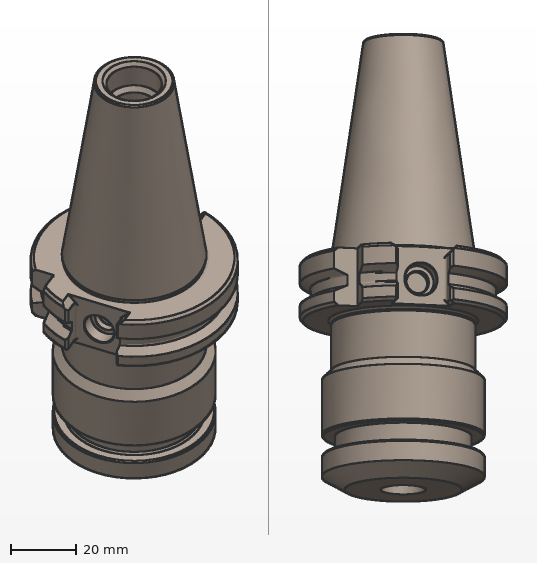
import cadquery as cq
import math


TAPER_RATE = 7 / 24
GAUGE_DIA = 44.45
TAPER_LENGTH = 68.4
TIP_EDGE = 0.5
TAPER_UNDERCUT_DIA = 43.85
TAPER_EDGE = 0.3
UNDERCUT_RECESS_DIA = 46.3
UNDERCUT_RECESS_DEPTH = 0.3

FLANGE_DIA = 63.55
FLANGE_TOP = -1.0
FLANGE_BOTTOM = -19.1
FLANGE_EDGE = 1.0
GROOVE_DIA = 56.9
GROOVE_CENTER = -11.1
GROOVE_MOUTH = 7.0
GROOVE_FLANK_ANGLE = 30
GROOVE_CORNER_RADIUS = 0.5

RELIEF_DIA = 43.85
RELIEF_TOP_DIA = 46.0
RELIEF_HEIGHT = 0.8
RELIEF_FLARE = 0.6
NECK_DIA = 44.45
NECK_BOTTOM = -35.0
BODY_DIA = 50.0
BODY_BOTTOM = -55.4
NUT_NECK_DIA = 42.0
NUT_TOP = -61.4
NUT_COLLAR = 0.7
PART_BOTTOM = -72.0
BODY_EDGE = 0.5
NUT_EDGE = 0.5
NUT_NOSE_DIA = 36.0
NUT_NOSE_ANGLE = 30

BORE_DIA = 13.84
PILOT_DIA = 17.0
PILOT_MOUTH_DIA = 19.4
PILOT_LENGTH = 7.3

SLOT_WIDTH = 16.3
FRONT_SLOT_FLOOR = 25.0
BACK_SLOT_FLOOR = 22.8
SLOT_TOP_CHAMFER = 2.3
SLOT_BOTTOM_CHAMFER = 1.0
SLOT_RIM_CHAMFER = 0.85
SLOT_CORNER_RADIUS = 0.8
NOTCH_OFFSET = 18.5

CHIP_DIA = 10.0
CHIP_MOUTH_CHAMFER = 0.2
CHIP_DEPTH = 4.6
CHIP_CORE_DIA = 7.0
CHIP_CORE_DEPTH = 7.0


def revolve(profile):
    """Turn a closed (radius, z) outline about the Z axis."""
    return cq.Workplane("XZ").polyline(profile).close().revolve(360, (0, 0, 0), (0, 1, 0))


def make_shank():
    """Taper with a broken tip edge and a grinding undercut above the flange."""
    gauge_radius = GAUGE_DIA / 2
    undercut_radius = TAPER_UNDERCUT_DIA / 2
    tip_radius = gauge_radius - TAPER_LENGTH * TAPER_RATE / 2
    edge_drop_radius = tip_radius + TIP_EDGE * TAPER_RATE / 2
    return revolve([
        (0, TAPER_LENGTH),
        (tip_radius - TIP_EDGE, TAPER_LENGTH),
        (edge_drop_radius, TAPER_LENGTH - TIP_EDGE),
        (gauge_radius, 0),
        (undercut_radius, -TAPER_EDGE),
        (undercut_radius, FLANGE_TOP - UNDERCUT_RECESS_DEPTH),
        (0, FLANGE_TOP - UNDERCUT_RECESS_DEPTH),
    ])


def make_flange():
    """Flange with the V groove and a shallow conical recess around the taper."""
    rim = FLANGE_DIA / 2
    root = GROOVE_DIA / 2
    half_mouth = GROOVE_MOUTH / 2
    half_root = half_mouth - (rim - root) * math.tan(math.radians(GROOVE_FLANK_ANGLE))
    blank = revolve([
        (0, FLANGE_TOP - UNDERCUT_RECESS_DEPTH),
        (TAPER_UNDERCUT_DIA / 2, FLANGE_TOP - UNDERCUT_RECESS_DEPTH),
        (UNDERCUT_RECESS_DIA / 2, FLANGE_TOP),
        (rim - FLANGE_EDGE, FLANGE_TOP),
        (rim, FLANGE_TOP - FLANGE_EDGE),
        (rim, GROOVE_CENTER + half_mouth),
        (root, GROOVE_CENTER + half_root),
        (root, GROOVE_CENTER - half_root),
        (rim, GROOVE_CENTER - half_mouth),
        (rim, FLANGE_BOTTOM + FLANGE_EDGE),
        (rim - FLANGE_EDGE, FLANGE_BOTTOM),
        (0, FLANGE_BOTTOM),
    ])
    half_zone = (half_mouth + half_root) / 2
    root_zone = cq.selectors.BoxSelector(
        (-rim, -rim, GROOVE_CENTER - half_zone),
        (rim, rim, GROOVE_CENTER + half_zone),
    )
    return blank.edges(root_zone).edges("%CIRCLE").fillet(GROOVE_CORNER_RADIUS)


def make_body():
    """Chuck body below the flange and the clamping nut at its end."""
    relief = RELIEF_DIA / 2
    neck = NECK_DIA / 2
    body = BODY_DIA / 2
    nut_neck = NUT_NECK_DIA / 2
    nose = NUT_NOSE_DIA / 2
    relief_bottom = FLANGE_BOTTOM - RELIEF_HEIGHT
    nose_height = (body - nose) * math.tan(math.radians(NUT_NOSE_ANGLE))
    return revolve([
        (0, FLANGE_BOTTOM),
        (RELIEF_TOP_DIA / 2, FLANGE_BOTTOM),
        (relief, relief_bottom),
        (neck, relief_bottom - RELIEF_FLARE),
        (neck, NECK_BOTTOM),
        (body, NECK_BOTTOM - (body - neck)),
        (body, BODY_BOTTOM + BODY_EDGE),
        (body - BODY_EDGE, BODY_BOTTOM),
        (nut_neck, BODY_BOTTOM),
        (nut_neck, NUT_TOP + NUT_COLLAR),
        (nut_neck + NUT_COLLAR, NUT_TOP),
        (body - NUT_EDGE, NUT_TOP),
        (body, NUT_TOP - NUT_EDGE),
        (body, PART_BOTTOM + nose_height),
        (nose, PART_BOTTOM),
        (0, PART_BOTTOM),
    ])


def make_bore():
    """Through bore with a chamfered pilot bore at the taper tip."""
    bore = BORE_DIA / 2
    pilot = PILOT_DIA / 2
    mouth = PILOT_MOUTH_DIA / 2
    pilot_top = TAPER_LENGTH - (mouth - pilot)
    pilot_bottom = pilot_top - PILOT_LENGTH
    return revolve([
        (0, TAPER_LENGTH),
        (mouth, TAPER_LENGTH),
        (pilot, pilot_top),
        (pilot, pilot_bottom),
        (bore, pilot_bottom - (pilot - bore)),
        (bore, PART_BOTTOM),
        (0, PART_BOTTOM),
    ])


def make_slot(floor, side):
    """Drive slot cutter; side is -1 for the front slot and +1 for the back one."""
    half = SLOT_WIDTH / 2
    rim = FLANGE_DIA / 2
    rim_x = half + SLOT_RIM_CHAMFER
    rim_y = math.sqrt(rim**2 - rim_x**2)
    flare = rim - (rim_y - SLOT_RIM_CHAMFER)
    height = FLANGE_TOP - FLANGE_BOTTOM
    channel = (
        cq.Workplane("XY", origin=(0, 0, FLANGE_BOTTOM))
        .rect(SLOT_WIDTH, 2 * (rim - floor))
        .extrude(height)
        .translate((0, side * rim, 0))
        .edges("|Z")
        .fillet(SLOT_CORNER_RADIUS)
    )
    rim_chamfer = (
        cq.Workplane("XY", origin=(0, 0, FLANGE_BOTTOM))
        .polyline([
            (-half, side * (rim - flare)),
            (half, side * (rim - flare)),
            (half + flare, side * rim),
            (-half - flare, side * rim),
        ])
        .close()
        .extrude(height)
    )
    outer_half = half + SLOT_TOP_CHAMFER
    lower_half = half + SLOT_BOTTOM_CHAMFER
    end_chamfers = (
        cq.Workplane("XZ", origin=(0, side * floor, 0))
        .polyline([
            (-outer_half, FLANGE_TOP),
            (outer_half, FLANGE_TOP),
            (0, FLANGE_TOP - outer_half),
        ])
        .close()
        .polyline([
            (-lower_half, FLANGE_BOTTOM),
            (lower_half, FLANGE_BOTTOM),
            (0, FLANGE_BOTTOM + lower_half),
        ])
        .close()
        .extrude(-side * (rim - floor))
    )
    return channel.union(rim_chamfer).union(end_chamfers)


def make_notch():
    """Square-cornered orientation notch through the -X, -Y side of the flange."""
    rim = FLANGE_DIA / 2
    height = FLANGE_TOP - FLANGE_BOTTOM
    corner = (-NOTCH_OFFSET - rim, -NOTCH_OFFSET - rim, FLANGE_BOTTOM)
    return cq.Workplane("XY").box(rim, rim, height, centered=False).translate(corner)


def make_chip_pocket():
    """Stepped round pocket with a broken mouth edge."""
    mouth = cq.Workplane("XZ", origin=(0, -FRONT_SLOT_FLOOR, GROOVE_CENTER))
    pocket = mouth.circle(CHIP_DIA / 2).extrude(-CHIP_DEPTH)
    core = mouth.circle(CHIP_CORE_DIA / 2).extrude(-CHIP_CORE_DEPTH)
    flare = (
        mouth.circle(CHIP_DIA / 2 + CHIP_MOUTH_CHAMFER)
        .extrude(-CHIP_MOUTH_CHAMFER, taper=45)
    )
    return pocket.union(core).union(flare)


result = (
    make_shank()
    .union(make_flange())
    .cut(make_slot(FRONT_SLOT_FLOOR, -1))
    .cut(make_slot(BACK_SLOT_FLOOR, 1))
    .cut(make_notch())
    .cut(make_chip_pocket())
    .union(make_body())
    .cut(make_bore())
)